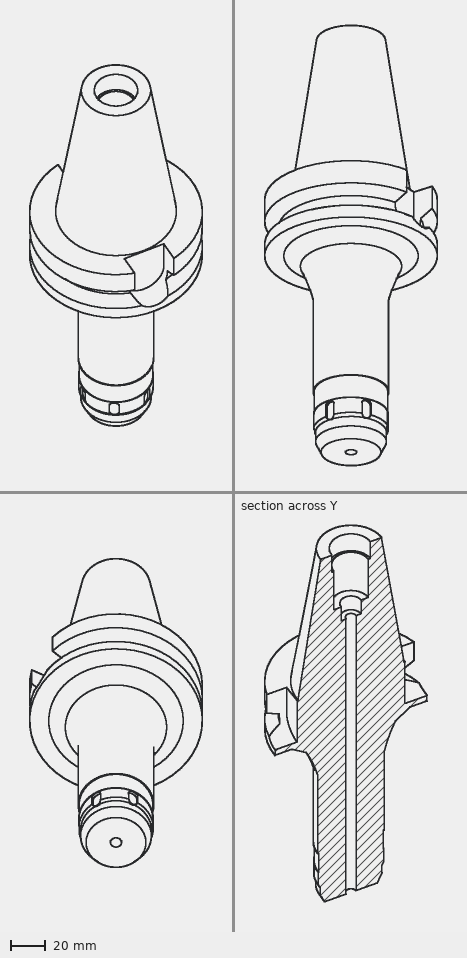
import cadquery as cq
import math

total_height = 266.8
gauge_level = 165.0
flange_top = 163.8
flange_bottom = 127.3

gauge_radius = 35.0
taper_length = total_height - gauge_level
shank_top_radius = gauge_radius - taper_length * 7 / 24 / 2

flange_radius = 50.02
groove_radius = 42.2
groove_upper_edge = 149.5
groove_floor_top = 145.1
groove_floor_bottom = 139.0
groove_lower_edge = 135.0

neck_top_radius = 39.0
neck_middle_radius = 29.3
neck_middle_level = 120.5
neck_bottom_level = 99.5
neck_hollow = 0.67

body_radius = 22.0
body_bottom = 39.2
nut_radius = 21.3
nut_band_radius = 21.5
nut_band_top = 24.8
nut_band_bottom = 15.0
nut_step_level = 12.8
nose_radius = 20.5
nose_chamfer_level = 6.7
nose_end_radius = 17.3

pilot_radius = 12.5
pilot_depth = 13.0
thread_radius = 11.2
thread_depth = 42.7
passage_radius = 6.5
passage_depth = 53.4
coolant_radius = 3.2

keyway_width = 25.5
keyway_bottom = 131.8
keyway_floor_x = 35.5

slot_count = 6
slot_width = 6.0
slot_bottom = 12.8
slot_top = 24.3
slot_floor_radius = 20.0


def make_turned_body():
    neck_arc_middle = (
        (neck_middle_radius + body_radius) / 2 - neck_hollow,
        (neck_middle_level + neck_bottom_level) / 2,
    )
    profile = (
        cq.Workplane("XZ")
        .moveTo(0, 0)
        .lineTo(nose_end_radius, 0)
        .lineTo(nose_radius, nose_chamfer_level)
        .lineTo(nose_radius, nut_step_level)
        .lineTo(nut_band_radius, nut_band_bottom)
        .lineTo(nut_band_radius, nut_band_top)
        .lineTo(nut_radius, nut_band_top)
        .lineTo(nut_radius, body_bottom)
        .lineTo(body_radius, body_bottom)
        .lineTo(body_radius, neck_bottom_level)
        .threePointArc(neck_arc_middle, (neck_middle_radius, neck_middle_level))
        .lineTo(neck_top_radius, flange_bottom)
        .lineTo(flange_radius, flange_bottom)
        .lineTo(flange_radius, groove_lower_edge)
        .lineTo(groove_radius, groove_floor_bottom)
        .lineTo(groove_radius, groove_floor_top)
        .lineTo(flange_radius, groove_upper_edge)
        .lineTo(flange_radius, flange_top)
        .lineTo(gauge_radius, flange_top)
        .lineTo(gauge_radius, gauge_level)
        .lineTo(shank_top_radius, total_height)
        .lineTo(0, total_height)
        .close()
    )
    return profile.revolve(360, (0, 0, 0), (0, 1, 0))


def make_bore_step(radius, depth):
    return cq.Workplane("XY", origin=(0, 0, total_height - depth)).circle(radius).extrude(depth)


def make_bore():
    return (
        make_bore_step(pilot_radius, pilot_depth)
        .union(make_bore_step(thread_radius, thread_depth))
        .union(make_bore_step(passage_radius, passage_depth))
        .union(make_bore_step(coolant_radius, total_height))
    )


def make_keyway():
    """Round-bottomed keyway on the +X side, open at the flange top."""
    half_width = keyway_width / 2
    arc_level = keyway_bottom + half_width
    return (
        cq.Workplane("YZ", origin=(keyway_floor_x, 0, 0))
        .moveTo(-half_width, flange_top)
        .lineTo(-half_width, arc_level)
        .threePointArc((0, keyway_bottom), (half_width, arc_level))
        .lineTo(half_width, flange_top)
        .close()
        .extrude(flange_radius - keyway_floor_x)
    )


def make_spanner_slot():
    """Flat-floored, round-ended slot facing -Y."""
    return (
        cq.Workplane("XZ", origin=(0, -slot_floor_radius, (slot_bottom + slot_top) / 2))
        .slot2D(slot_top - slot_bottom, slot_width, 90)
        .extrude(nut_radius)
    )


result = make_turned_body().cut(make_bore())

for angle in (0, 180):
    result = result.cut(make_keyway().rotate((0, 0, 0), (0, 0, 1), angle))

for index in range(slot_count):
    angle = index * 360 / slot_count
    result = result.cut(make_spanner_slot().rotate((0, 0, 0), (0, 0, 1), angle))